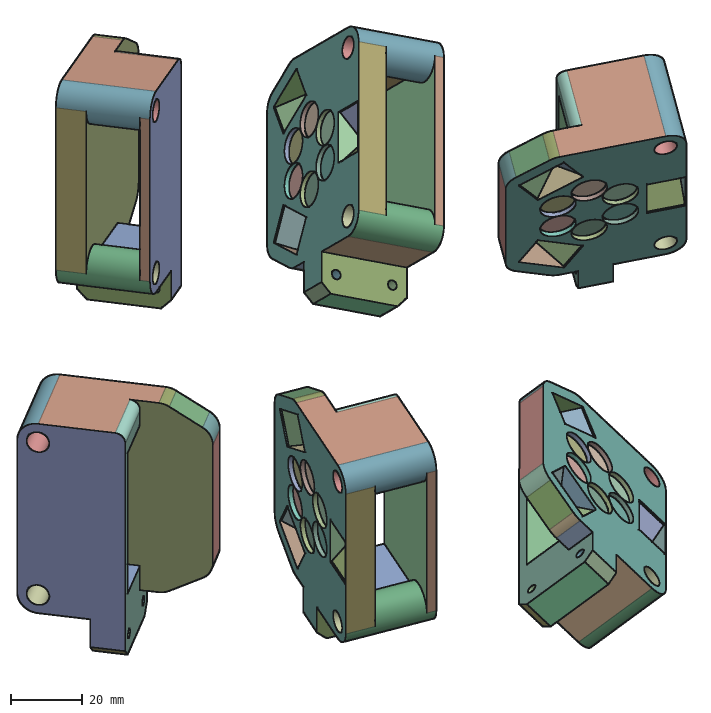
import cadquery as cq
import math

length_x = 27.5
width_y = 52.0
total_height = 74.0
tab_height = 12.0
body_height = total_height - tab_height
mid_z = body_height / 2

thick_plate = 8.95
thin_plate = 2.95
frame_depth = 31.1
wall = 8.0
corner_radius = 6.0
rear_radius = 2.95
cut_margin = 0.75

slant_start_y = 38.0
slant_drop = (width_y - slant_start_y) * math.tan(math.radians(30))

bolt_hole = 6.5

pattern_y = 28.0
disc_diameter = 10.3
disc_ring_radius = 10.35
disc_depth = 1.5
groove_ring_radius = 22.05
groove_length = 11.0
groove_width = 15.0
groove_lip = 0.5
groove_depth = groove_lip + groove_width / 2

tab_thickness = 10.1
tab_chamfer = 2.95
tab_hole = 2.8
tab_hole_inset = 4.7


def thick_plate_body():
    outline = [
        (0, 0),
        (slant_start_y, 0),
        (width_y, slant_drop),
        (width_y, body_height - slant_drop),
        (slant_start_y, body_height),
        (0, body_height),
    ]
    plate = cq.Workplane("YZ").polyline(outline).close().extrude(thick_plate)
    return plate.edges("|X").fillet(corner_radius)


def frame_block():
    """Box with rounded corners, from the outer face of the thick plate to the thin plate."""
    block = cq.Workplane("XY").box(length_x, frame_depth, body_height, centered=False)
    block = block.edges("|X and <Y").fillet(corner_radius)
    return block.edges("|X and >Y").fillet(rear_radius)


def frame_cavity():
    """Opening between the plates, curving around the bolt bosses and leaving the two walls."""
    gap = length_x - thick_plate - thin_plate
    boss_end_y = corner_radius + math.sqrt(corner_radius**2 - (corner_radius - wall) ** 2)
    boss_crest = 2 * corner_radius
    diagonal = corner_radius * math.sqrt(0.5)
    lower_half = (
        cq.Workplane("YZ", origin=(thick_plate, 0, 0))
        .moveTo(-cut_margin, mid_z)
        .lineTo(-cut_margin, corner_radius)
        .lineTo(0, corner_radius)
        .threePointArc((corner_radius - diagonal, corner_radius + diagonal), (corner_radius, boss_crest))
        .threePointArc((corner_radius + diagonal, corner_radius + diagonal), (boss_end_y, wall))
        .lineTo(frame_depth + cut_margin, wall)
        .lineTo(frame_depth + cut_margin, mid_z)
        .close()
        .extrude(gap)
    )
    return lower_half.union(lower_half.mirror("XY", (0, 0, mid_z)))


def bolt_points():
    return [(corner_radius, corner_radius), (corner_radius, body_height - corner_radius)]


def bolt_holes():
    return cq.Workplane("YZ").pushPoints(bolt_points()).circle(bolt_hole / 2).extrude(length_x)


def disc_recesses():
    centre = cq.Workplane("YZ", origin=(0, pattern_y, mid_z))
    return centre.polarArray(disc_ring_radius, 90, 360, 6).circle(disc_diameter / 2).extrude(disc_depth)


def v_grooves():
    """Three V-shaped recesses whose valleys point at the pattern centre."""
    profile = [
        (0, -groove_width / 2),
        (groove_lip, -groove_width / 2),
        (groove_depth, 0),
        (groove_lip, groove_width / 2),
        (0, groove_width / 2),
    ]
    groove = cq.Workplane("XZ").polyline(profile).close().extrude(groove_length / 2, both=True)
    groove = groove.translate((0, -groove_ring_radius, 0))
    grooves = cq.Workplane("XY")
    for angle in (0, 120, 240):
        grooves = grooves.add(groove.rotate((0, 0, 0), (1, 0, 0), angle))
    return grooves.combine().translate((0, pattern_y, mid_z))


def mounting_tab():
    root = rear_radius
    tab = cq.Workplane("XY").box(length_x, tab_thickness, tab_height + root, centered=False)
    tab = tab.translate((0, frame_depth - tab_thickness, -tab_height))
    tab = tab.edges("|Y and <Z").chamfer(tab_chamfer)
    points = [(x, -tab_height / 2) for x in (tab_hole_inset, length_x - tab_hole_inset)]
    holes = cq.Workplane("XZ").pushPoints(points).circle(tab_hole / 2).extrude(-width_y)
    return tab.cut(holes)


result = thick_plate_body().union(frame_block()).cut(frame_cavity()).union(mounting_tab())
result = result.cut(bolt_holes()).cut(disc_recesses()).cut(v_grooves())